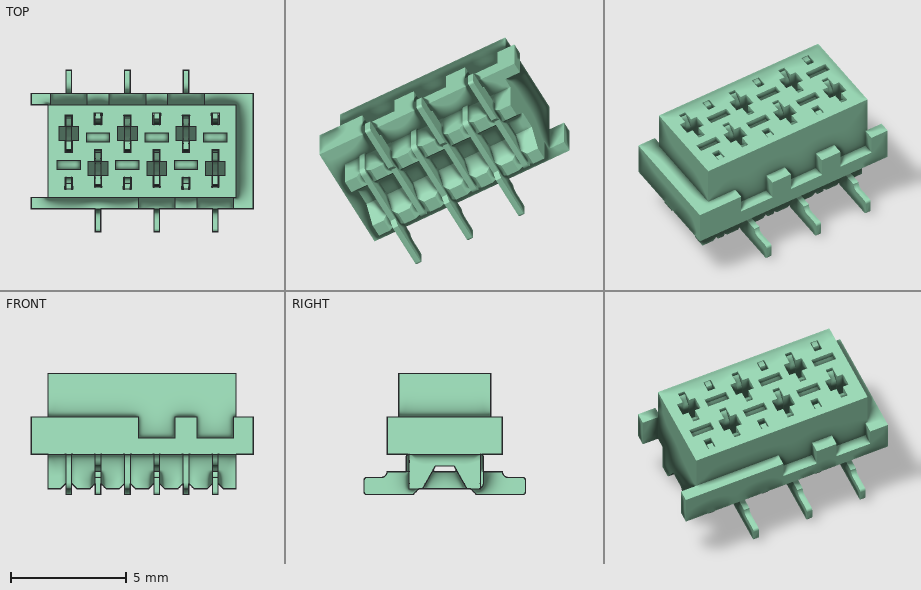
import cadquery as cq
import math


columns = 6
pitch = 1.27
row_offset = 0.75
contact_thickness = 0.25

body_length = 8.16
body_width = 4.0
body_top = 5.25
total_length = 9.62
flange_width = 5.0
flange_bottom = 1.75
flange_top = 3.37
flange_overhang = 0.72
notch_length = 1.6
notch_depth = 0.91
column_without_notch = 1
base_width = 3.08
base_bottom = 0.25
tunnel_top = 1.24
tunnel_bottom_width = 1.92
tunnel_top_width = 0.81
slot_lead_in = 0.23
fork_pocket_size = (0.31, 1.62)
blade_pocket_size = (0.86, 0.6)
blade_pocket_offset = 0.76
arm_pocket_size = (0.35, 0.5)
arm_pocket_offset = 1.395
key_pocket_size = (1.01, 0.39)
key_pocket_depth = 0.3
key_pocket_offset = 0.6

foot_tip = 3.5
foot_step = 2.5
foot_heel = 1.38
foot_tip_top = 0.75
foot_top = 1.0
small_radius = 0.125
large_radius = 0.25
relief_top = 1.25
stem_inner = 0.53
contact_top = 5.21
fork_half_base = base_width / 2 - row_offset
fork_half_tip = 0.69
fork_half_mouth = 0.4
fork_half_throat = 0.31
lead_in_angle = math.radians(45)
throat_radius = (fork_half_mouth - fork_half_throat) / (1 - math.cos(lead_in_angle))
fork_half_gap = 0.42
gap_bottom = 2.62
flank_bottom = gap_bottom
gap_radius = 0.29
arm_tip_outer = arm_pocket_offset + arm_pocket_size[1] / 2
arm_tip_inner = arm_pocket_offset
arm_inner = arm_pocket_offset - arm_pocket_size[1] / 2
arm_taper_height = 1.0
shoulder_outer = 1.67

column_x = [(i - (columns - 1) / 2) * pitch for i in range(columns)]


def row_side(column):
    """+1 for columns whose foot points to +Y, -1 for those whose foot points to -Y."""
    return 1 if column % 2 == 0 else -1


def box(x_range, y_range, z_range):
    size = [high - low for low, high in (x_range, y_range, z_range)]
    return cq.Workplane("XY").box(*size, centered=False).translate((x_range[0], y_range[0], z_range[0]))


def pocket(x, y, size, bottom):
    """Rectangular pocket from the top face down to the given height."""
    return cq.Workplane("XY", origin=(x, y, bottom)).rect(*size).extrude(body_top - bottom)


def make_flange():
    """Side walls joined by an end wall at +X; notches above each foot, none over the first -Y foot."""
    left = -body_length / 2 - flange_overhang
    right = left + total_length
    half = flange_width / 2
    flange = box((left, right), (-half, half), (flange_bottom, flange_top))
    overhang_gap = box((left, -body_length / 2), (-body_width / 2, body_width / 2), (flange_bottom, flange_top))
    flange = flange.cut(overhang_gap)
    for column, x in enumerate(column_x):
        if column == column_without_notch:
            continue
        wall = sorted((row_side(column) * body_width / 2, row_side(column) * half))
        notch_x = (x - notch_length / 2, x + notch_length / 2)
        flange = flange.cut(box(notch_x, wall, (flange_top - notch_depth, flange_top)))
    return flange


def make_tunnel():
    """Trapezoidal tunnel along the whole underside."""
    return (
        cq.Workplane("YZ", origin=(-body_length / 2, 0, 0))
        .polyline([
            (-tunnel_bottom_width / 2, base_bottom),
            (tunnel_bottom_width / 2, base_bottom),
            (tunnel_top_width / 2, tunnel_top),
            (-tunnel_top_width / 2, tunnel_top),
        ])
        .close()
        .extrude(body_length)
    )


def make_contact_slot(x):
    """Slot across the base with a flared mouth, closely fitting the contact."""
    half = contact_thickness / 2
    return (
        cq.Workplane("XZ", origin=(x, base_width / 2, 0))
        .polyline([
            (-half - slot_lead_in, base_bottom),
            (half + slot_lead_in, base_bottom),
            (half, base_bottom + slot_lead_in),
            (half, flange_bottom),
            (-half, flange_bottom),
            (-half, base_bottom + slot_lead_in),
        ])
        .close()
        .extrude(base_width)
    )


def make_housing():
    half_length = body_length / 2
    housing = box((-half_length, half_length), (-body_width / 2, body_width / 2), (flange_bottom, body_top))
    housing = housing.union(make_flange())
    base = box((-half_length, half_length), (-base_width / 2, base_width / 2), (base_bottom, flange_bottom))
    housing = housing.union(base).cut(make_tunnel())

    for column, x in enumerate(column_x):
        side = row_side(column)
        housing = housing.cut(make_contact_slot(x))
        housing = housing.cut(pocket(x, side * row_offset, fork_pocket_size, flange_bottom))
        housing = housing.cut(pocket(x, side * blade_pocket_offset, blade_pocket_size, flange_bottom))
        housing = housing.cut(pocket(x, -side * arm_pocket_offset, arm_pocket_size, flange_bottom))
        housing = housing.cut(pocket(x, -side * key_pocket_offset, key_pocket_size, body_top - key_pocket_depth))
    return housing


def trace_heel_and_arm(path):
    """From the foot heel along the base bar, then up and over the back arm to the stem."""
    return (
        path.lineTo(foot_heel - base_bottom, base_bottom)
        .lineTo(large_radius - shoulder_outer, base_bottom)
        .radiusArc((-shoulder_outer, base_bottom + large_radius), large_radius)
        .lineTo(-shoulder_outer, flange_bottom - small_radius)
        .radiusArc((small_radius - shoulder_outer, flange_bottom), small_radius)
        .lineTo(-arm_tip_outer, contact_top)
        .lineTo(-arm_tip_inner, contact_top)
        .lineTo(-arm_inner, contact_top - arm_taper_height)
        .lineTo(-arm_inner, foot_top)
        .lineTo(stem_inner - small_radius, foot_top)
        .radiusArc((stem_inner, foot_top + small_radius), -small_radius)
        .lineTo(stem_inner, flange_bottom)
    )


def trace_fork(path):
    """Up the inner prong, through the contact gap and down the outer prong."""
    lead_in_bottom = contact_top - (fork_half_tip - fork_half_mouth) * math.tan(lead_in_angle)
    throat = lead_in_bottom - throat_radius * math.sin(lead_in_angle)
    gap_side = gap_bottom + gap_radius
    gap_flat = fork_half_gap - gap_radius
    return (
        path.lineTo(row_offset - fork_half_base, flange_bottom)
        .lineTo(row_offset - fork_half_base, flank_bottom)
        .lineTo(row_offset - fork_half_tip, contact_top)
        .lineTo(row_offset - fork_half_mouth, lead_in_bottom)
        .radiusArc((row_offset - fork_half_throat, throat), throat_radius)
        .lineTo(row_offset - fork_half_gap, gap_side)
        .radiusArc((row_offset - gap_flat, gap_bottom), -gap_radius)
        .lineTo(row_offset + gap_flat, gap_bottom)
        .radiusArc((row_offset + fork_half_gap, gap_side), -gap_radius)
        .lineTo(row_offset + fork_half_throat, throat)
        .radiusArc((row_offset + fork_half_mouth, lead_in_bottom), throat_radius)
        .lineTo(row_offset + fork_half_tip, contact_top)
        .lineTo(row_offset + fork_half_base, flank_bottom)
    )


def trace_foot(path):
    """Down the outer side, around the relief slot and along the stepped solder foot."""
    outer = row_offset + fork_half_base
    relief_mouth = outer - large_radius
    relief_middle = (foot_top + relief_top) / 2
    relief_end = relief_mouth - (relief_top - foot_top) / 2
    step_radius = foot_top - foot_tip_top
    return (
        path.lineTo(outer, relief_top + large_radius)
        .radiusArc((relief_mouth, relief_top), large_radius)
        .threePointArc((relief_end, relief_middle), (relief_mouth, foot_top))
        .lineTo(foot_step, foot_top)
        .radiusArc((foot_step + step_radius, foot_tip_top), -step_radius)
        .lineTo(foot_tip - small_radius, foot_tip_top)
        .radiusArc((foot_tip, foot_tip_top - small_radius), small_radius)
        .lineTo(foot_tip, small_radius)
        .radiusArc((foot_tip - small_radius, 0), small_radius)
    )


def make_contact(x, side):
    """Flat stamped contact: solder foot, base bar, back arm and two-pronged fork."""
    path = cq.Workplane("YZ", origin=(-contact_thickness / 2, 0, 0)).moveTo(foot_heel, 0)
    path = trace_foot(trace_fork(trace_heel_and_arm(path)))
    contact = path.close().extrude(contact_thickness)
    if side < 0:
        contact = contact.rotate((0, 0, 0), (0, 0, 1), 180)
    return contact.translate((x, 0, 0))


housing = make_housing()
contacts = [make_contact(x, row_side(column)) for column, x in enumerate(column_x)]
result = cq.Compound.makeCompound([housing.val(), *[contact.val() for contact in contacts]])